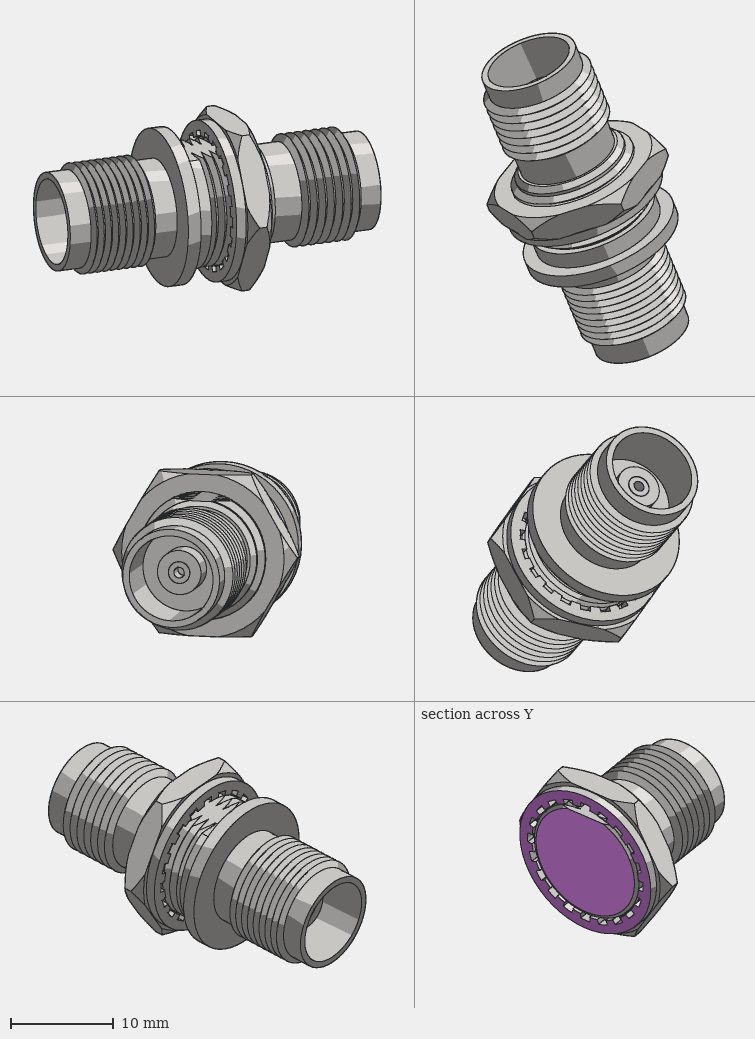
import cadquery as cq
import math

LENGTH = 32.5

TUBE_RADIUS = 4.85
BORE_RADIUS = 4.2
BORE_DEPTH = 5.52

FLANGE_RADIUS = 7.77
FLANGE_START = 11.18
FLANGE_THICKNESS = 1.33
COLLAR_RADIUS = 6.4
COLLAR_LENGTH = 1.65
BODY_RADIUS = 5.65
BODY_LENGTH = 7.15
BODY_CHAMFER = 0.52
FLAT_HEIGHT = 5.55

FLANGE_END = FLANGE_START + FLANGE_THICKNESS
COLLAR_END = FLANGE_END + COLLAR_LENGTH
BODY_END = COLLAR_END + BODY_LENGTH

FRONT_THREAD_START = 2.18
FRONT_THREAD_LENGTH = 6.75
FRONT_THREAD_TURNS = 9
FRONT_THREAD_PITCH = FRONT_THREAD_LENGTH / FRONT_THREAD_TURNS
FRONT_THREAD_CREST = 5.45
COARSE_LENGTH = 6.2
COARSE_TURNS = 7
COARSE_PITCH = COARSE_LENGTH / COARSE_TURNS
REAR_THREAD_START = 24.2
REAR_THREAD_CREST = 5.55
THREAD_RELIEF = 0.1
BODY_THREAD_START = COLLAR_END + THREAD_RELIEF
BODY_THREAD_CREST = 6.3

INSULATOR_RADIUS = 2.18
INSULATOR_RECESS = 3.25
CONTACT_RADIUS = 1.07
CONTACT_RECESS = 3.2
SOCKET_RADIUS = 0.52
SOCKET_DEPTH = 1.62

WASHER_START = 16.15
WASHER_THICKNESS = 1.0
WASHER_RADIUS = 7.93
TOOTH_TIP_RADIUS = 6.4
NOTCH_RADIUS = 6.92
NOTCH_WIDTH = 1.05
NOTCH_COUNT = 20

NUT_START = WASHER_START + WASHER_THICKNESS
NUT_THICKNESS = 2.57
NUT_ACROSS_FLATS = 16.0
NUT_ACROSS_CORNERS = NUT_ACROSS_FLATS / math.cos(math.pi / 6)
NUT_BLANK_RADIUS = 9.55
NUT_FRONT_FACE_RADIUS = 8.35
NUT_FRONT_CONE_HEIGHT = 1.2
NUT_REAR_FACE_RADIUS = 8.12
NUT_REAR_CONE_HEIGHT = 1.17


def revolve_about_axis(points):
    """Turn a closed (radius, y) outline around the Y axis."""
    profile = [(y, radius) for radius, y in points]
    return cq.Workplane("YZ").polyline(profile).close().revolve(360, (0, 0), (1, 0))


def disc(radius, start, length):
    """Cylinder on the Y axis, from y = start to y = start + length."""
    return cq.Workplane("XZ", origin=(0, start, 0)).circle(radius).extrude(-length)


def thread_points(start, root, crest, pitch, turns):
    """Zigzag (radius, y) points of a row of V-shaped rings, from root to root."""
    points = [(root, start)]
    for turn in range(turns):
        ring_start = start + turn * pitch
        points.append((crest, ring_start + pitch / 2))
        points.append((root, ring_start + pitch))
    return points


def housing_blank():
    """Solid housing of revolution, before the bores and the flat are cut."""
    outline = [(0, 0), (TUBE_RADIUS, 0)]
    outline += thread_points(
        FRONT_THREAD_START, TUBE_RADIUS, FRONT_THREAD_CREST, FRONT_THREAD_PITCH, FRONT_THREAD_TURNS
    )
    outline += [
        (TUBE_RADIUS, FLANGE_START),
        (FLANGE_RADIUS, FLANGE_START),
        (FLANGE_RADIUS, FLANGE_END),
        (COLLAR_RADIUS, FLANGE_END),
        (COLLAR_RADIUS, COLLAR_END),
        (BODY_RADIUS, COLLAR_END),
    ]
    outline += thread_points(BODY_THREAD_START, BODY_RADIUS, BODY_THREAD_CREST, COARSE_PITCH, COARSE_TURNS)
    outline += [
        (BODY_RADIUS, BODY_END - BODY_CHAMFER),
        (BODY_RADIUS - BODY_CHAMFER, BODY_END),
        (TUBE_RADIUS, BODY_END),
    ]
    outline += thread_points(REAR_THREAD_START, TUBE_RADIUS, REAR_THREAD_CREST, COARSE_PITCH, COARSE_TURNS)
    outline += [(TUBE_RADIUS, LENGTH), (0, LENGTH)]
    return revolve_about_axis(outline)


def flat_cutter():
    """Block above the flat that runs along the top of the collar and threaded body."""
    width = 2 * COLLAR_RADIUS
    length = BODY_END - FLANGE_END
    height = COLLAR_RADIUS - FLAT_HEIGHT
    corner = (-COLLAR_RADIUS, FLANGE_END, FLAT_HEIGHT)
    return cq.Workplane("XY").box(width, length, height, centered=False).translate(corner)


def front_cavity():
    """Empty space in the front tube, around and inside the insulator and contact."""
    return revolve_about_axis(
        [
            (0, 0),
            (BORE_RADIUS, 0),
            (BORE_RADIUS, BORE_DEPTH),
            (INSULATOR_RADIUS, BORE_DEPTH),
            (INSULATOR_RADIUS, INSULATOR_RECESS),
            (CONTACT_RADIUS, INSULATOR_RECESS),
            (CONTACT_RADIUS, CONTACT_RECESS),
            (SOCKET_RADIUS, CONTACT_RECESS),
            (SOCKET_RADIUS, CONTACT_RECESS + SOCKET_DEPTH),
            (0, CONTACT_RECESS + SOCKET_DEPTH),
        ]
    )


def make_housing():
    cavity = front_cavity()
    rear_cavity = cavity.mirror("XZ", (0, LENGTH / 2, 0))
    return housing_blank().cut(flat_cutter()).cut(cavity).cut(rear_cavity)


def make_lock_washer():
    washer = disc(WASHER_RADIUS, WASHER_START, WASHER_THICKNESS)
    washer = washer.cut(disc(TOOTH_TIP_RADIUS, WASHER_START, WASHER_THICKNESS))
    notch_limit = disc(NOTCH_RADIUS, WASHER_START, WASHER_THICKNESS)
    spoke = (
        cq.Workplane("XZ", origin=(0, WASHER_START, 0))
        .rect(2 * WASHER_RADIUS, NOTCH_WIDTH)
        .extrude(-WASHER_THICKNESS)
        .intersect(notch_limit)
    )
    for index in range(NOTCH_COUNT // 2):
        washer = washer.cut(spoke.rotate((0, 0, 0), (0, 1, 0), index * 360 / NOTCH_COUNT))
    return washer


def make_nut():
    nut_end = NUT_START + NUT_THICKNESS
    hexagon = (
        cq.Workplane("XZ", origin=(0, NUT_START, 0)).polygon(6, NUT_ACROSS_CORNERS).extrude(-NUT_THICKNESS)
    )
    chamfered_ring = revolve_about_axis(
        [
            (BODY_THREAD_CREST, NUT_START),
            (NUT_FRONT_FACE_RADIUS, NUT_START),
            (NUT_BLANK_RADIUS, NUT_START + NUT_FRONT_CONE_HEIGHT),
            (NUT_BLANK_RADIUS, nut_end - NUT_REAR_CONE_HEIGHT),
            (NUT_REAR_FACE_RADIUS, nut_end),
            (BODY_THREAD_CREST, nut_end),
        ]
    )
    return hexagon.intersect(chamfered_ring)


housing = make_housing()
lock_washer = make_lock_washer()
nut = make_nut()

result = cq.Compound.makeCompound([housing.val(), lock_washer.val(), nut.val()])